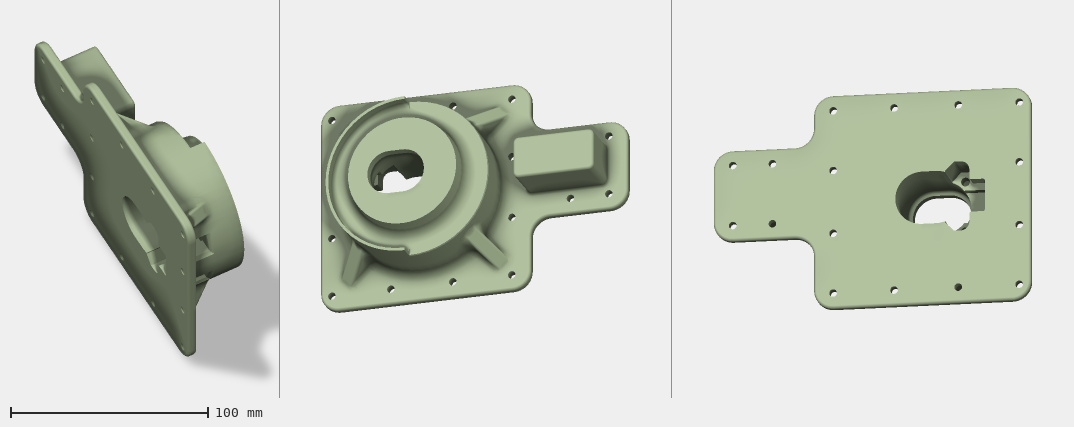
import cadquery as cq
import math


clearance = 3.3

tolerance = 0.02

plate_side = 112.0
plate_half = plate_side / 2
plate_thickness = 5.0
overall_length = 163.7
arm_end_x = plate_half - overall_length
arm_top = 29.5
arm_bottom = -18.0
corner_radius = 10.0
plate_edge_radius = 1.5

screw_radius = 2.0
main_hole_centre_x = 2.0
main_hole_outer = 48.0
main_hole_inner = 16.5
arm_hole_columns = (-97.7, -77.3)
arm_hole_rows = (21.6, -10.0)

box_left = -97.4
box_length = 42.9
box_height = 21.8
box_top = 30.1
box_centre_z = (arm_top + arm_bottom) / 2
box_corner_radius = 3.0
box_edge_radius = 1.5
box_root_radius = 1.5

housing_radius = 42.0
housing_top = 32.0
rim_bevel_height = 0.8
rim_bevel_width = 0.3
shroud_top = 40.0
shroud_wall = 1.5
shroud_floor_radius = 2.6
collar_top = 43.9
collar_top_radius = 28.8
collar_root_radius = 29.6
collar_fillet = 5.0

rib_thickness = 8.0
rib_reach = 60.2
rib_height = 25.0
rib_root_radius = 29.5
rib_zone_half = 49.1
rib_edge_radius = 1.3
rib_foot_radius = 3.0
housing_root_radius = 5.0

oval_centre_x = 3.5
oval_centre_distance = 7.2
oval_radius = 13.8
oval_ledge_y = 38.8
oval_floor_radius = 1.1
oval_exit_radius = 11.5

cavity_floor_y = 21.1
window_floor_y = 26.0
port_start_y = 8.0
window_right = 32.2
window_half_height = 8.5
window_corner_radius = 1.0
ear_half_height = 18.2
ear_slope_start = (11.8, 13.6)
ear_right = 24.2
ear_corner_radius = 4.5
ear_screw_x = 18.5
ear_screw_z = 13.1
ear_screw_radius = 2.3
ear_screw_depth = 6.5
ear_screw_tip = 2.3
port_edge_chamfer = 1.6


def plane_at(y):
    """Sketch plane at height y: local x is +X, local y is +Z, extruding toward +Y is negative."""
    return cq.Workplane("XZ", origin=(0, y, 0))


def slab(sketch, depth):
    """Extrude a sketch toward +Y."""
    return sketch.extrude(-depth)


def make_plate():
    main = slab(plane_at(0).rect(plate_side, plate_side), plate_thickness)
    arm_sketch = plane_at(0).moveTo(arm_end_x, arm_bottom).lineTo(0, arm_bottom).lineTo(0, arm_top)
    arm = slab(arm_sketch.lineTo(arm_end_x, arm_top).close(), plate_thickness)
    plate = main.union(arm).edges("|Y").fillet(corner_radius)
    return plate.faces("<Y or >Y").edges().fillet(plate_edge_radius)


def make_box():
    centre = (box_left + box_length / 2, box_centre_z)
    sketch = plane_at(plate_thickness / 2).center(*centre).rect(box_length, box_height)
    box = slab(sketch, box_top - plate_thickness / 2)
    return box.edges("|Y").fillet(box_corner_radius).faces(">Y").edges().fillet(box_edge_radius)


def make_ribs():
    """Four triangular ribs whose sloping top edge runs on into the housing."""
    slope = (rib_height - plate_thickness) / (rib_reach - housing_radius)
    root_height = rib_height + slope * (housing_radius - rib_root_radius)
    profile = [
        (rib_root_radius, 0),
        (rib_reach, 0),
        (rib_reach, plate_thickness),
        (rib_root_radius, root_height),
    ]
    blank = cq.Workplane("XY").polyline(profile).close().extrude(rib_thickness / 2, both=True)
    slope_face = blank.faces(cq.selectors.DirectionMinMaxSelector(cq.Vector(1, 1, 0)))
    blank = slope_face.edges("not |Z").fillet(rib_edge_radius)
    ribs = cq.Workplane("XY")
    for angle in (45, 135, 225, 315):
        ribs = ribs.add(blank.rotate((0, 0, 0), (0, 1, 0), angle))
    return ribs.combine()


def edges_within(body, low, high):
    """Edges that lie wholly inside the box between two corners."""
    low = tuple(value - tolerance for value in low)
    high = tuple(value + tolerance for value in high)
    inside = cq.selectors.BoxSelector(low, high, boundingbox=True)
    return body.edges(inside).vals()


def is_on_housing_wall(edge):
    return all(abs(math.hypot(v.X, v.Z) - housing_radius) < tolerance for v in edge.Vertices())


def is_housing_root(edge):
    """True for the edges where the plate and the ribs meet the housing wall."""
    heights = [v.Y for v in edge.Vertices()]
    return is_on_housing_wall(edge) and min(heights) > tolerance and max(heights) < housing_top


def is_rib_foot(edge):
    """True for the edges between the ribs and the plate, clear of the housing and the plate rim."""
    ends = edge.Vertices()
    on_plate = all(abs(v.Y - plate_thickness) < tolerance for v in ends)
    outside_housing = all(math.hypot(v.X, v.Z) > housing_radius + tolerance for v in ends)
    inside_rim = all(max(abs(v.X), abs(v.Z)) < rib_zone_half for v in ends)
    return on_plate and outside_housing and inside_rim


def make_ribbed_housing():
    """Plate with a solid housing as tall as the collar, ribs, and rounded inner corners."""
    housing = slab(plane_at(0).circle(housing_radius), collar_top)
    body = make_plate().union(housing).union(make_ribs())
    roots = [edge for edge in body.edges().vals() if is_housing_root(edge)]
    body = body.newObject(roots).fillet(housing_root_radius)
    feet = [edge for edge in body.edges().vals() if is_rib_foot(edge)]
    return body.newObject(feet).fillet(rib_foot_radius)


def collar_profile():
    """Start of the void section: down the tapered collar and round its root to the housing top."""
    fillet_centre_r = collar_root_radius + collar_fillet
    fillet_centre_y = housing_top + collar_fillet
    offset = collar_fillet * math.sqrt(0.5)
    return (
        cq.Workplane("XY")
        .moveTo(collar_top_radius, collar_top)
        .lineTo(collar_root_radius, fillet_centre_y)
        .threePointArc(
            (fillet_centre_r - offset, fillet_centre_y - offset),
            (fillet_centre_r, housing_top),
        )
    )


def revolve_half(section, start_angle):
    half = section.close().revolve(180, (0, 0, 0), (0, 1, 0))
    return half.rotate((0, 0, 0), (0, 1, 0), start_angle)


def make_void_around_collar():
    """Space cleared around the collar; the thin shroud is left standing on the +X half."""
    clear_radius = housing_radius + clearance
    inner_radius = housing_radius - shroud_wall
    offset = shroud_floor_radius * (1 - math.sqrt(0.5))
    bevel_foot_y = housing_top - rim_bevel_height
    open_section = (
        collar_profile()
        .lineTo(housing_radius - rim_bevel_width, housing_top)
        .lineTo(housing_radius, bevel_foot_y)
        .lineTo(clear_radius, bevel_foot_y)
        .lineTo(clear_radius, collar_top)
    )
    shroud_section = (
        collar_profile()
        .lineTo(inner_radius - shroud_floor_radius, housing_top)
        .threePointArc(
            (inner_radius - offset, housing_top + offset),
            (inner_radius, housing_top + shroud_floor_radius),
        )
        .lineTo(inner_radius, shroud_top)
        .lineTo(clear_radius, shroud_top)
        .lineTo(clear_radius, collar_top)
    )
    return revolve_half(open_section, 90).union(revolve_half(shroud_section, 270))


def oval(y, radius, depth):
    length = oval_centre_distance + 2 * radius
    return slab(plane_at(y).center(oval_centre_x, 0).slot2D(length, 2 * radius), depth)


def make_oval_opening():
    pocket = oval(0, oval_radius, oval_ledge_y).faces(">Y").edges().fillet(oval_floor_radius)
    return pocket.union(oval(0, oval_exit_radius, collar_top))


def make_ear_pocket():
    """Pocket spanning both screw ears, with sloping sides toward the oval."""
    slope_x, slope_z = ear_slope_start
    slope_end_x = slope_x + ear_half_height - slope_z
    outline = [
        (slope_x, slope_z),
        (slope_end_x, ear_half_height),
        (ear_right, ear_half_height),
        (ear_right, -ear_half_height),
        (slope_end_x, -ear_half_height),
        (slope_x, -slope_z),
    ]
    pocket = slab(plane_at(0).polyline(outline).close(), cavity_floor_y)
    return pocket.edges("|Y and >X").fillet(ear_corner_radius)


def make_window():
    width = window_right - oval_centre_x
    sketch = plane_at(0).center(oval_centre_x + width / 2, 0).rect(width, 2 * window_half_height)
    return slab(sketch, window_floor_y).edges("|Y and >X").fillet(window_corner_radius)


def make_front_pocket():
    """Window and ears together, with the corners between them rounded."""
    pocket = make_window().union(make_ear_pocket())
    corners = edges_within(
        pocket,
        (ear_right, 0, -window_half_height),
        (ear_right, cavity_floor_y, window_half_height),
    )
    return pocket.newObject(corners).fillet(window_corner_radius)


def make_side_cavity():
    """Cavity behind the plate that runs out through the +X wall on both sides of a central block."""
    depth = cavity_floor_y - port_start_y
    reach = housing_radius + clearance
    full_width = reach - ear_screw_x
    sketch = plane_at(port_start_y).center(ear_screw_x + full_width / 2, 0)
    cavity = slab(sketch.rect(full_width, 2 * ear_half_height), depth)
    block_width = reach - window_right
    sketch = plane_at(port_start_y).center(window_right + block_width / 2, 0)
    return cavity.cut(slab(sketch.rect(block_width, 2 * window_half_height), depth))


def make_screw_holes():
    """A square ring of twelve holes in the main plate and four holes in the arm."""
    points = []
    for side in (-1, 1):
        for step in (-1, 1):
            outer = side * main_hole_outer
            inner = step * main_hole_inner
            points.append((main_hole_centre_x + outer, step * main_hole_outer))
            points.append((main_hole_centre_x + outer, inner))
            points.append((main_hole_centre_x + inner, outer))
    points += [(x, z) for x in arm_hole_columns for z in arm_hole_rows]
    return slab(plane_at(0).pushPoints(points).circle(screw_radius), plate_thickness)


def make_ear_screw_holes():
    """Blind screw holes in the floor of the ears, each ending in a conical tip."""
    holes = cq.Workplane("XY")
    toward_back = cq.Vector(0, 1, 0)
    for z in (-ear_screw_z, ear_screw_z):
        mouth = cq.Vector(ear_screw_x, cavity_floor_y, z)
        tip_start = mouth + toward_back * ear_screw_depth
        shank = cq.Solid.makeCylinder(ear_screw_radius, ear_screw_depth, mouth, toward_back)
        tip = cq.Solid.makeCone(ear_screw_radius, 0, ear_screw_tip, tip_start, toward_back)
        holes = holes.add(shank).add(tip)
    return holes.combine()


def add_box(body):
    """Join the box to the arm and round the corner where it meets the plate."""
    joined = body.union(make_box())
    foot = edges_within(
        joined,
        (box_left, plate_thickness, box_centre_z - box_height / 2),
        (box_left + box_length, plate_thickness, box_centre_z + box_height / 2),
    )
    return joined.newObject(foot).fillet(box_root_radius)


def chamfer_ports(body):
    """Bevel the outer edges of the two side ports."""
    port_edges = edges_within(
        body,
        (ear_right, port_start_y, -ear_half_height),
        (housing_radius, cavity_floor_y, ear_half_height),
    )
    rims = [edge for edge in port_edges if is_on_housing_wall(edge)]
    return body.newObject(rims).chamfer(port_edge_chamfer)


body = add_box(make_ribbed_housing()).cut(make_void_around_collar())
body = body.cut(make_front_pocket()).cut(make_side_cavity())
body = chamfer_ports(body)
body = body.cut(make_oval_opening())
result = body.cut(make_screw_holes()).cut(make_ear_screw_holes())